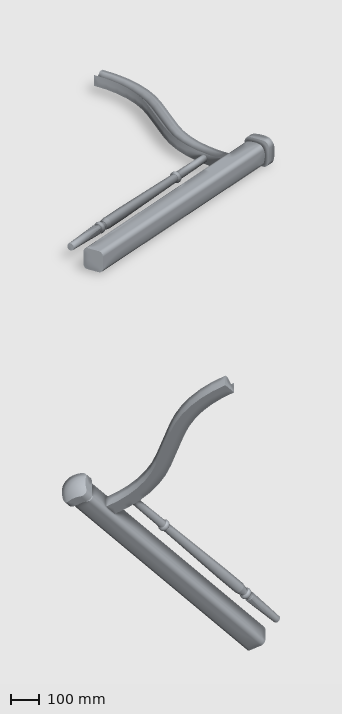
import cadquery as cq
import math

TOTAL_LENGTH = 1292.0
TOTAL_WIDTH = 836.0

POST_WIDTH = 80.0
POST_CORNER_RADIUS = 17.0
CAP_WIDTH = 100.0
CAP_CORNER_RADIUS = 23.0
CAP_BOTTOM = 1048.0
CAP_TOP = 1101.0
CAP_DOME_RADIUS = 90.0
NECK_RADIUS = 30.0
SHOULDER_BASE_RADIUS = 52.0
SHOULDER_HEIGHT = 21.0

RAIL_DEPTH = 55.0
RAIL_THICKNESS = 41.0
RAIL_CROWN = 4.0
RAIL_SLOPE = math.radians(40)
RAIL_POST_HEIGHT = 925.0
GROOVE_UPPER_EDGE = 18.0
GROOVE_BOTTOM = 37.0
GROOVE_DEPTH = 17.0

RAIL_START_X = CAP_WIDTH / 2 - TOTAL_WIDTH
RAIL_START_Y = TOTAL_LENGTH - RAIL_DEPTH / 2
RAIL_END_X = -POST_WIDTH / 2

BALUSTER_X = -124.0
BALUSTER_FOOT = 49.0
FOOT_RADIUS = 13.6
FOOT_FLAT_WIDTH = 32.0
FOOT_TOP = 215.0
FOOT_TOP_RADIUS = 18.7
NECK_LOWER_RADIUS = 14.0
LOWER_RING_BOTTOM = 226.0
RING_HEIGHT = 20.0
RING_RADIUS = 21.3
RING_EDGE_RADIUS = 17.0
VASE_BOTTOM = 256.0
VASE_EDGE_RADIUS = 17.0
VASE_SHOULDER = 277.0
VASE_RADIUS = 21.0
VASE_STRAIGHT_TOP = 375.0
UPPER_RING_BOTTOM = 713.0
STEM_RADIUS = 15.0
STEM_TOP_RADIUS = 13.6


def rounded_square_bar(width, corner_radius, start, end):
    """Square bar along Y with rounded long edges."""
    return (
        cq.Workplane("XZ", origin=(0, start, 0))
        .rect(width, width)
        .extrude(start - end)
        .edges("|Y")
        .fillet(corner_radius)
    )


def make_post():
    shaft = rounded_square_bar(POST_WIDTH, POST_CORNER_RADIUS, 0, CAP_BOTTOM)
    shoulder_start = CAP_BOTTOM - SHOULDER_HEIGHT
    shoulder_envelope = (
        cq.Workplane("XY")
        .moveTo(0, 0)
        .lineTo(POST_WIDTH, 0)
        .lineTo(POST_WIDTH, shoulder_start)
        .lineTo(SHOULDER_BASE_RADIUS, shoulder_start)
        .lineTo(NECK_RADIUS, CAP_BOTTOM)
        .lineTo(0, CAP_BOTTOM)
        .close()
        .revolve(360, (0, 0, 0), (0, 1, 0))
    )
    cap = rounded_square_bar(CAP_WIDTH, CAP_CORNER_RADIUS, CAP_BOTTOM, CAP_TOP)
    dome = cq.Workplane("XY").sphere(CAP_DOME_RADIUS)
    dome = dome.translate((0, CAP_TOP - CAP_DOME_RADIUS, 0))
    return shaft.intersect(shoulder_envelope).union(cap.intersect(dome))


def rail_path():
    run = RAIL_END_X - RAIL_START_X
    drop = RAIL_START_Y - RAIL_POST_HEIGHT
    sine = math.sin(RAIL_SLOPE)
    cosine = math.cos(RAIL_SLOPE)
    radius = (run * sine - drop * cosine) / (2 * (1 - cosine))
    arc_run = radius * sine
    arc_drop = radius * (1 - cosine)
    half_run = radius * math.sin(RAIL_SLOPE / 2)
    half_drop = radius * (1 - math.cos(RAIL_SLOPE / 2))
    return (
        cq.Workplane("XY")
        .moveTo(RAIL_START_X, RAIL_START_Y)
        .threePointArc(
            (RAIL_START_X + half_run, RAIL_START_Y - half_drop),
            (RAIL_START_X + arc_run, RAIL_START_Y - arc_drop),
        )
        .lineTo(RAIL_END_X - arc_run, RAIL_POST_HEIGHT + arc_drop)
        .threePointArc(
            (RAIL_END_X - half_run, RAIL_POST_HEIGHT + half_drop),
            (RAIL_END_X, RAIL_POST_HEIGHT),
        )
    )


def make_rail(groove_depth):
    """Crowned handrail with a V-groove of the given depth along its +Z side."""
    top = RAIL_DEPTH / 2
    side = RAIL_THICKNESS / 2
    section = (
        cq.Workplane("YZ", origin=(RAIL_START_X, RAIL_START_Y, 0))
        .moveTo(-top, -side)
        .lineTo(top - RAIL_CROWN, -side)
        .threePointArc((top, 0), (top - RAIL_CROWN, side))
        .lineTo(top - GROOVE_UPPER_EDGE, side)
        .lineTo(top - GROOVE_BOTTOM, side - groove_depth)
        .lineTo(-top, side)
        .close()
    )
    return section.sweep(rail_path())


def add_ring(outline, bottom):
    """Continue a turned outline upwards over a rounded ring."""
    return outline.lineTo(RING_EDGE_RADIUS, bottom).threePointArc(
        (RING_RADIUS, bottom + RING_HEIGHT / 2), (RING_EDGE_RADIUS, bottom + RING_HEIGHT)
    )


def make_baluster_foot():
    """Tapered round foot with four flats that run out towards its tip."""
    foot = (
        cq.Workplane("XY")
        .moveTo(0, BALUSTER_FOOT)
        .lineTo(FOOT_RADIUS, BALUSTER_FOOT)
        .lineTo(FOOT_TOP_RADIUS, FOOT_TOP)
        .lineTo(0, FOOT_TOP)
        .close()
        .revolve(360, (0, 0, 0), (0, 1, 0))
    )
    flats = (
        cq.Workplane("XZ", origin=(0, BALUSTER_FOOT, 0))
        .rect(FOOT_FLAT_WIDTH, FOOT_FLAT_WIDTH)
        .extrude(BALUSTER_FOOT - FOOT_TOP)
    )
    return foot.intersect(flats)


def make_baluster():
    outline = (
        cq.Workplane("XY")
        .moveTo(0, FOOT_TOP)
        .lineTo(NECK_LOWER_RADIUS, FOOT_TOP)
        .lineTo(NECK_LOWER_RADIUS, LOWER_RING_BOTTOM)
    )
    outline = (
        add_ring(outline, LOWER_RING_BOTTOM)
        .lineTo(NECK_LOWER_RADIUS, LOWER_RING_BOTTOM + RING_HEIGHT)
        .lineTo(NECK_LOWER_RADIUS, VASE_BOTTOM)
        .lineTo(VASE_EDGE_RADIUS, VASE_BOTTOM)
        .lineTo(VASE_RADIUS, VASE_SHOULDER)
        .lineTo(VASE_RADIUS, VASE_STRAIGHT_TOP)
        .lineTo(STEM_RADIUS, UPPER_RING_BOTTOM)
    )
    turned = (
        add_ring(outline, UPPER_RING_BOTTOM)
        .lineTo(STEM_RADIUS, UPPER_RING_BOTTOM + RING_HEIGHT)
        .lineTo(STEM_TOP_RADIUS, RAIL_POST_HEIGHT)
        .lineTo(0, RAIL_POST_HEIGHT)
        .close()
        .revolve(360, (0, 0, 0), (0, 1, 0))
    )
    baluster = make_baluster_foot().union(turned).translate((BALUSTER_X, 0, 0))
    ungrooved_rail = make_rail(groove_depth=0)
    return baluster.cut(ungrooved_rail)


post = make_post()
rail = make_rail(GROOVE_DEPTH)
baluster = make_baluster()
result = cq.Compound.makeCompound([post.val(), rail.val(), baluster.val()])